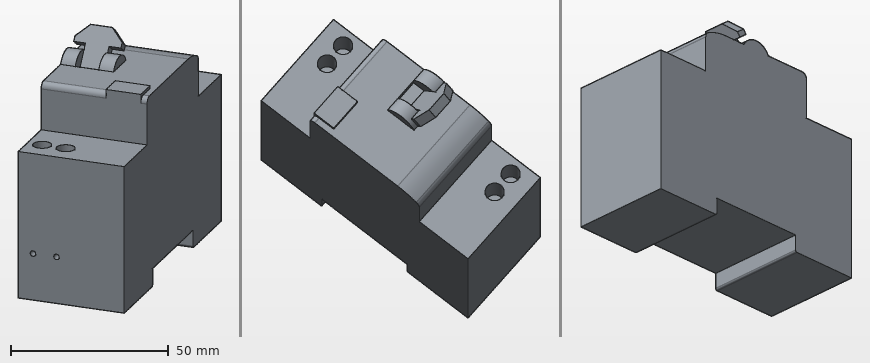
import cadquery as cq
import math

WIDTH = 36.0
DEPTH = 85.0
SHOULDER_Z = 50.0
HOOD_DEPTH = 45.0
HOOD_Z = 66.0
HOOD_FRONT_FILLET = 2.0
HOOD_REAR_FILLET = 2.2
CROWN_START_Y = 13.6
CROWN_RADIUS = 17.7
RAIL_WIDTH = 35.0
RAIL_HEIGHT = 6.0
RAIL_EDGE_FILLET = 0.7

BARREL_LENGTH = 18.0
BARREL_TOP_Z = 69.4
BARREL_HALF_CHORD = 5.4
SLOT_WIDTH = 8.0
SLOT_FLOOR_Z = 64.2
SLOT_REAR_Y = 2.6

TIP_Y = 7.2
TIP_Z = 75.7
LEVER_LEAN = 36.0
LEVER_THICKNESS = 3.4
LEVER_LENGTH = 16.15
HEAD_WIDTH = 16.1
HEAD_TOP_WIDTH = 7.3
HEAD_TAPER_LENGTH = 4.4
HEAD_LENGTH = 6.3

BUTTON_X = 22.1
BUTTON_WIDTH = 11.8
BUTTON_DEPTH = 8.1
BUTTON_RISE = 0.9

HOLE_X = 5.0
HOLE_PITCH = 8.0
TERMINAL_Y = 34.4
TERMINAL_DIAMETER = 6.0
TERMINAL_DEPTH = 10.0
FRONT_HOLE_Z = 15.9
FRONT_HOLE_DIAMETER = 1.9
FRONT_HOLE_DEPTH = 5.0

half_depth = DEPTH / 2
half_hood = HOOD_DEPTH / 2
half_rail = RAIL_WIDTH / 2
barrel_x = BARREL_LENGTH / 2
hole_xs = (HOLE_X, HOLE_X + HOLE_PITCH)


def crown_point(y):
    """Point on the arc that leaves the flat hood top tangentially and falls to the rear."""
    run = y - CROWN_START_Y
    drop = CROWN_RADIUS - math.sqrt(CROWN_RADIUS**2 - run**2)
    return (y, HOOD_Z - drop)


def x_edge_at(y, z):
    """Selector for the edge along X passing through (y, z)."""
    return cq.selectors.NearestToPointSelector((WIDTH / 2, y, z))


def make_housing():
    """Stepped side outline with the rail recess, extruded over the full width."""
    crown_end = crown_point(half_hood)
    body = (
        cq.Workplane("YZ")
        .moveTo(-half_depth, 0)
        .lineTo(-half_rail, 0)
        .lineTo(-half_rail, RAIL_HEIGHT)
        .lineTo(half_rail, RAIL_HEIGHT)
        .lineTo(half_rail, 0)
        .lineTo(half_depth, 0)
        .lineTo(half_depth, SHOULDER_Z)
        .lineTo(half_hood, SHOULDER_Z)
        .lineTo(*crown_end)
        .threePointArc(crown_point((half_hood + CROWN_START_Y) / 2), (CROWN_START_Y, HOOD_Z))
        .lineTo(-half_hood, HOOD_Z)
        .lineTo(-half_hood, SHOULDER_Z)
        .lineTo(-half_depth, SHOULDER_Z)
        .close()
        .extrude(WIDTH)
    )
    body = body.edges(x_edge_at(*crown_end)).fillet(HOOD_REAR_FILLET)
    body = body.edges(x_edge_at(-half_hood, HOOD_Z)).fillet(HOOD_FRONT_FILLET)
    for y in (-half_rail, half_rail):
        body = body.edges(x_edge_at(y, 0)).fillet(RAIL_EDGE_FILLET)
    return body


def make_barrel():
    """Cylinder whose exposed cap has the given chord and height above the hood."""
    rise = BARREL_TOP_Z - HOOD_Z
    radius = (BARREL_HALF_CHORD**2 + rise**2) / (2 * rise)
    return cq.Workplane("YZ").center(0, BARREL_TOP_Z - radius).circle(radius).extrude(BARREL_LENGTH)


def make_slot():
    """Slot in the front of the barrel, dipping into the hood and ending behind the lever face."""
    length = SLOT_REAR_Y + BARREL_HALF_CHORD
    height = BARREL_TOP_Z - SLOT_FLOOR_Z
    return cq.Workplane("XY").box(SLOT_WIDTH, length, height, centered=False).translate(
        (barrel_x - SLOT_WIDTH / 2, -BARREL_HALF_CHORD, SLOT_FLOOR_Z)
    )


def make_lever():
    """T-shaped plate; its outline lies in the leaning front face, measured down from the tip."""
    lean = math.radians(LEVER_LEAN)
    front_face = cq.Plane(
        origin=(barrel_x, TIP_Y, TIP_Z),
        xDir=(1, 0, 0),
        normal=(0, -math.cos(lean), math.sin(lean)),
    )
    right_half = [
        (HEAD_TOP_WIDTH / 2, 0),
        (HEAD_WIDTH / 2, -HEAD_TAPER_LENGTH),
        (HEAD_WIDTH / 2, -HEAD_LENGTH),
        (SLOT_WIDTH / 2, -HEAD_LENGTH),
        (SLOT_WIDTH / 2, -LEVER_LENGTH),
    ]
    left_half = [(-x, length) for x, length in reversed(right_half)]
    return cq.Workplane(front_face).polyline(right_half + left_half).close().extrude(-LEVER_THICKNESS)


def make_button():
    """Raised button whose front is flush with the hood and fills the rounded front edge."""
    height = HOOD_FRONT_FILLET + BUTTON_RISE
    return cq.Workplane("XY").box(BUTTON_WIDTH, BUTTON_DEPTH, height, centered=False).translate(
        (BUTTON_X, -half_hood, HOOD_Z - HOOD_FRONT_FILLET)
    )


def make_terminal_holes():
    """Blind round holes going down from both shoulders."""
    centres = [(x, y) for x in hole_xs for y in (-TERMINAL_Y, TERMINAL_Y)]
    return (
        cq.Workplane("XY", origin=(0, 0, SHOULDER_Z))
        .pushPoints(centres)
        .circle(TERMINAL_DIAMETER / 2)
        .extrude(-TERMINAL_DEPTH)
    )


def make_front_holes():
    """Small blind holes in the front face."""
    return (
        cq.Workplane("XZ", origin=(0, -half_depth, 0))
        .pushPoints([(x, FRONT_HOLE_Z) for x in hole_xs])
        .circle(FRONT_HOLE_DIAMETER / 2)
        .extrude(-FRONT_HOLE_DEPTH)
    )


result = (
    make_housing()
    .union(make_barrel())
    .cut(make_slot())
    .union(make_lever())
    .union(make_button())
    .cut(make_terminal_holes())
    .cut(make_front_holes())
)